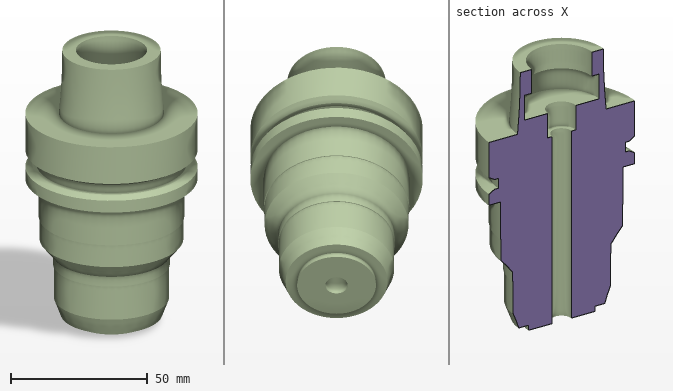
import cadquery as cq
import math

taper_length = 25.0
taper_top_radius = 18.0
taper_base_radius = 19.2

flange_radius = 31.5
flange_bottom = -26.0
groove_radius = 27.5
groove_shoulder_radius = 29.0
groove_chamfer_top = -14.6
groove_top = -16.1
groove_bottom = -19.9
groove_chamfer_bottom = -21.3

upper_body_radius = 26.6
upper_body_bottom = -41.2
lower_body_radius = 26.3
lower_body_bottom = -50.0
shoulder_bottom = -56.0
collar_radius = 21.4
collar_bottom = -59.9
nut_radius = 21.1
nut_bottom = -73.2
nut_nose_radius = 18.6
nut_nose_bottom = -79.9
spigot_radius = 14.4
body_bottom = -82.0

bore_radius = 13.0
bore_lip_depth = 10.0
undercut_radius = 16.0
bore_depth = 20.0
counterbore_radius = 6.0
counterbore_depth = 10.0
through_hole_radius = 4.1


def make_body():
    """Revolve the outside profile; the taper is an arc that starts parallel to the axis at the top rim."""
    flare = taper_base_radius - taper_top_radius
    arc_radius = (taper_length**2 + flare**2) / (2 * flare)
    half_angle = math.asin(taper_length / arc_radius) / 2
    arc_middle = (
        taper_top_radius + arc_radius * (1 - math.cos(half_angle)),
        taper_length - arc_radius * math.sin(half_angle),
    )
    profile = (
        cq.Workplane("XZ")
        .moveTo(0, body_bottom)
        .lineTo(0, taper_length)
        .lineTo(taper_top_radius, taper_length)
        .threePointArc(arc_middle, (taper_base_radius, 0))
        .lineTo(flange_radius, 0)
        .lineTo(flange_radius, groove_chamfer_top)
        .lineTo(groove_shoulder_radius, groove_top)
        .lineTo(groove_radius, groove_top)
        .lineTo(groove_radius, groove_bottom)
        .lineTo(groove_shoulder_radius, groove_bottom)
        .lineTo(flange_radius, groove_chamfer_bottom)
        .lineTo(flange_radius, flange_bottom)
        .lineTo(upper_body_radius, flange_bottom)
        .lineTo(upper_body_radius, upper_body_bottom)
        .lineTo(lower_body_radius, upper_body_bottom)
        .lineTo(lower_body_radius, lower_body_bottom)
        .lineTo(collar_radius, shoulder_bottom)
        .lineTo(collar_radius, collar_bottom)
        .lineTo(nut_radius, collar_bottom)
        .lineTo(nut_radius, nut_bottom)
        .lineTo(nut_nose_radius, nut_nose_bottom)
        .lineTo(spigot_radius, nut_nose_bottom)
        .lineTo(spigot_radius, body_bottom)
        .close()
    )
    return profile.revolve(360, (0, 0, 0), (0, 1, 0))


def make_cavity():
    """Revolve the stepped cavity that runs from the shank rim down through the body."""
    lip_bottom = taper_length - bore_lip_depth
    bore_floor = taper_length - bore_depth
    counterbore_floor = bore_floor - counterbore_depth
    profile = (
        cq.Workplane("XZ")
        .moveTo(0, body_bottom)
        .lineTo(0, taper_length)
        .lineTo(bore_radius, taper_length)
        .lineTo(bore_radius, lip_bottom)
        .lineTo(undercut_radius, lip_bottom)
        .lineTo(undercut_radius, bore_floor)
        .lineTo(counterbore_radius, bore_floor)
        .lineTo(counterbore_radius, counterbore_floor)
        .lineTo(through_hole_radius, counterbore_floor)
        .lineTo(through_hole_radius, body_bottom)
        .close()
    )
    return profile.revolve(360, (0, 0, 0), (0, 1, 0))


result = make_body().cut(make_cavity())